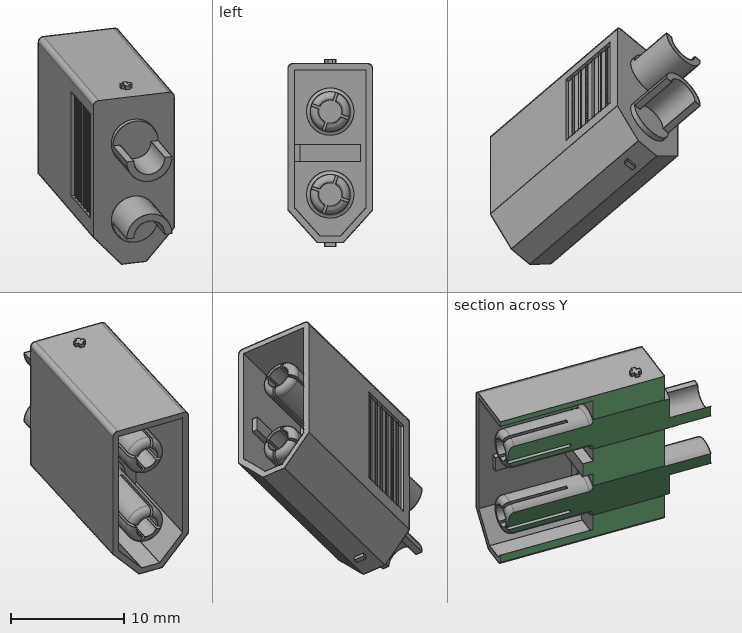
import cadquery as cq
import math


total_length = 20.5
total_height = 16.55
housing_width = 7.5
housing_length = 16.0

mark_height = 0.35
housing_height = total_height - 2 * mark_height
half_height = housing_height / 2
keel_width = 2.3
keel_height = 2.9
top_edge_radius = 0.5
wall = 0.57
cavity_depth = 9.02

cavity_width = housing_width - 2 * wall
key_thickness = 0.51
key_height = 1.48
key_setback = 1.37
block_rise = 1.0

panel_start = 9.55
panel_length = 5.51
panel_height = 9.88
panel_center_z = 1.41
panel_depth = 0.29
grip_rib_count = 6
grip_rib_pitch = 0.85
grip_rib_width = 0.25
grip_rib_height = 0.1

mark_center_x = 13.78
mark_span = 0.98
mark_stroke = 0.4

pin_spacing = 7.32
pin_tip_x = 0.7
body_diameter = 4.18
plug_diameter = 3.53
tip_rounding = 0.64
plug_bore_diameter = 2.05
plug_bore_depth = 6.15
slot_width = 0.25
slot_length = 6.15
slot_angle = 20.0
collar_length = 0.5
cup_bore_diameter = 2.87


def box(x_start, x_end, y_start, y_end, z_start, z_end):
    """Axis-aligned box between the given limits."""
    return cq.Workplane("XY").box(
        x_end - x_start, y_end - y_start, z_end - z_start, centered=False
    ).translate((x_start, y_start, z_start))


def cylinder(diameter, x_start, x_end):
    """Cylinder around the X axis."""
    return cq.Workplane("YZ", origin=(x_start, 0, 0)).circle(diameter / 2).extrude(x_end - x_start)


def housing_section(inset, length):
    """Prism of the housing outline, shrunk evenly on all sides by `inset`."""
    half_width = housing_width / 2
    shoulder_z = keel_height - half_height
    outline = (
        cq.Workplane("YZ")
        .moveTo(-half_width, half_height)
        .lineTo(half_width, half_height)
        .lineTo(half_width, shoulder_z)
        .lineTo(keel_width / 2, -half_height)
        .lineTo(-keel_width / 2, -half_height)
        .lineTo(-half_width, shoulder_z)
        .close()
    )
    if inset:
        outline = outline.offset2D(-inset, "intersection")
    return outline.extrude(length)


def make_shell():
    """Housing prism with two rounded top edges and an open mating cavity."""
    shell = housing_section(0, housing_length).edges("|X and >Z").fillet(top_edge_radius)
    return shell.cut(housing_section(wall, cavity_depth))


def make_key():
    """Rib along the +Y cavity wall, with a low block across the cavity floor."""
    wall_y = cavity_width / 2
    rib_y = wall_y - key_thickness
    rib = box(key_setback, cavity_depth, rib_y, wall_y, -key_height / 2, key_height / 2)
    block = box(cavity_depth - block_rise, cavity_depth, -rib_y, rib_y, -key_height / 2, key_height / 2)
    return rib.union(block)


def make_grip_recess():
    """Volume removed for the grip panel, leaving its upright ribs standing."""
    face_y = -housing_width / 2
    floor_y = face_y + panel_depth
    bottom_z = panel_center_z - panel_height / 2
    top_z = panel_center_z + panel_height / 2
    recess = box(panel_start, panel_start + panel_length, face_y, floor_y, bottom_z, top_z)
    first_rib_x = panel_start + panel_length / 2 - (grip_rib_count - 1) * grip_rib_pitch / 2
    for index in range(grip_rib_count):
        rib_start = first_rib_x + index * grip_rib_pitch - grip_rib_width / 2
        rib_end = rib_start + grip_rib_width
        recess = recess.cut(box(rib_start, rib_end, floor_y - grip_rib_height, floor_y, bottom_z, top_z))
    return recess


def make_marks():
    """Raised plus sign on the top and raised minus sign on the bottom."""
    top_plane = cq.Workplane("XY", origin=(mark_center_x, 0, half_height))
    bottom_plane = cq.Workplane("XY", origin=(mark_center_x, 0, -half_height))
    plus = top_plane.rect(mark_span, mark_stroke).extrude(mark_height)
    plus = plus.union(top_plane.rect(mark_stroke, mark_span).extrude(mark_height))
    minus = bottom_plane.rect(mark_stroke, mark_span).extrude(-mark_height)
    return plus, minus


def make_housing():
    """Shell with key, grip panel, polarity marks and the two pin holes."""
    housing = make_shell().union(make_key()).cut(make_grip_recess())
    for mark in make_marks():
        housing = housing.union(mark)
    for side in (1, -1):
        hole = cylinder(body_diameter, cavity_depth, housing_length)
        housing = housing.cut(hole.translate((0, 0, side * pin_spacing / 2)))
    return housing


def make_plug():
    """Hollow plug end: rounded tip, straight shank and a concave flare at the cavity floor."""
    tip_radius = plug_diameter / 2 - tip_rounding
    flare = (body_diameter - plug_diameter) / 2
    diagonal = math.sqrt(0.5)
    plug = (
        cq.Workplane("XY")
        .moveTo(pin_tip_x, 0)
        .lineTo(pin_tip_x, tip_radius)
        .threePointArc(
            (pin_tip_x + tip_rounding * (1 - diagonal), tip_radius + tip_rounding * diagonal),
            (pin_tip_x + tip_rounding, plug_diameter / 2),
        )
        .lineTo(cavity_depth - flare, plug_diameter / 2)
        .threePointArc(
            (cavity_depth - flare * (1 - diagonal), body_diameter / 2 - flare * diagonal),
            (cavity_depth, body_diameter / 2),
        )
        .lineTo(cavity_depth, 0)
        .close()
        .revolve(360, (0, 0, 0), (1, 0, 0))
    )
    plug = plug.cut(cylinder(plug_bore_diameter, pin_tip_x, pin_tip_x + plug_bore_depth))
    slot_reach = body_diameter / 2
    for turn in (0, 90):
        slot = box(
            pin_tip_x, pin_tip_x + slot_length, -slot_reach, slot_reach, -slot_width / 2, slot_width / 2
        )
        plug = plug.cut(slot.rotate((0, 0, 0), (1, 0, 0), slot_angle + turn))
    return plug


def make_solder_cup():
    """Lower half of a tube, open upwards, behind the collar of the pin."""
    cup_start = housing_length + collar_length
    tube = cylinder(body_diameter, cup_start, total_length)
    tube = tube.cut(cylinder(cup_bore_diameter, cup_start, total_length))
    radius = body_diameter / 2
    return tube.cut(box(cup_start, total_length, -radius, radius, 0, radius))


def make_pin(side):
    """Contact pin above (side = 1) or below (side = -1), its solder cup open away from the other pin."""
    body = cylinder(body_diameter, cavity_depth, housing_length + collar_length)
    cup = make_solder_cup()
    if side < 0:
        cup = cup.mirror("XY")
    return make_plug().union(body).union(cup).translate((0, 0, side * pin_spacing / 2))


housing = make_housing()
pins = [make_pin(side) for side in (1, -1)]

result = cq.Compound.makeCompound([housing.val(), *[pin.val() for pin in pins]])